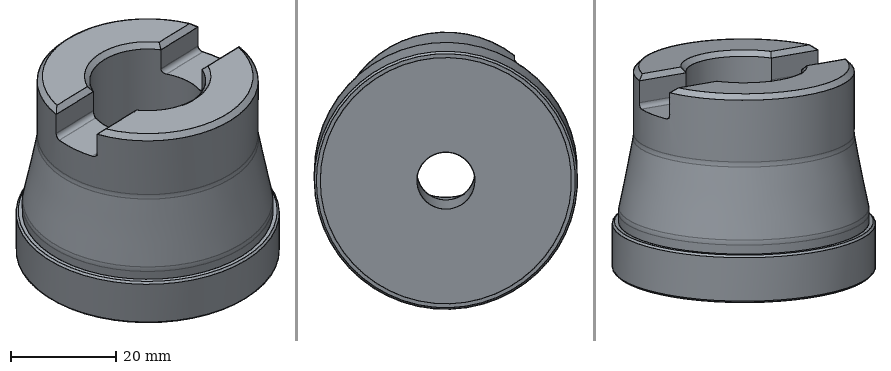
import cadquery as cq
import math

TOTAL_HEIGHT = 39.85

RING_DIAMETER = 50.0
RING_HEIGHT = 9.35
RING_CHAMFER = 0.4

SKIRT_DIAMETER = 47.7
NECK_DIAMETER = 42.0
BORE_DIAMETER = 22.0
BORE_FLOOR_Z = RING_HEIGHT
HOLE_DIAMETER = 11.0
HOLE_CHAMFER = 0.5
CONE_BOTTOM_Z = 11.6
CONE_TOP_Z = 26.2
BLEND_RADIUS = 5.0
RIM_CHAMFER = 1.0

SLOT_WIDTH = 10.4
SLOT_DEPTH = 6.3
SLOT_FLOOR_RADIUS = 1.0


def cone_blend(corner_r, corner_z, side):
    """Start, middle and end of the arc rounding a corner between cone and cylinder.

    side is +1 at the bottom corner (arc centre inside the wall), -1 at the top corner.
    """
    cone_run = (SKIRT_DIAMETER - NECK_DIAMETER) / 2
    cone_angle = math.atan2(cone_run, CONE_TOP_Z - CONE_BOTTOM_Z)
    tangent_length = BLEND_RADIUS * math.tan(cone_angle / 2)
    center_r = corner_r - side * BLEND_RADIUS
    center_z = corner_z - side * tangent_length

    def arc_point(angle):
        return (
            center_r + side * BLEND_RADIUS * math.cos(angle),
            center_z + side * BLEND_RADIUS * math.sin(angle),
        )

    points = [arc_point(0), arc_point(cone_angle / 2), arc_point(cone_angle)]
    return points if side > 0 else points[::-1]


def make_ring():
    """Ring with chamfered outer edges, bored to fit the skirt of the housing."""
    disc = cq.Workplane("XY").circle(RING_DIAMETER / 2).extrude(RING_HEIGHT)
    disc = disc.faces("<Z or >Z").chamfer(RING_CHAMFER)
    opening = cq.Workplane("XY").circle(SKIRT_DIAMETER / 2).extrude(RING_HEIGHT)
    return disc.cut(opening)


def make_housing_blank():
    """Revolved cup: skirt, blended cone, neck, chamfered rim, bore and drilled floor."""
    hole_r = HOLE_DIAMETER / 2
    skirt_r = SKIRT_DIAMETER / 2
    neck_r = NECK_DIAMETER / 2
    bore_r = BORE_DIAMETER / 2
    low_start, low_middle, low_end = cone_blend(skirt_r, CONE_BOTTOM_Z, 1)
    high_start, high_middle, high_end = cone_blend(neck_r, CONE_TOP_Z, -1)
    return (
        cq.Workplane("XZ")
        .moveTo(hole_r, 0)
        .lineTo(skirt_r, 0)
        .lineTo(*low_start)
        .threePointArc(low_middle, low_end)
        .lineTo(*high_start)
        .threePointArc(high_middle, high_end)
        .lineTo(neck_r, TOTAL_HEIGHT - RIM_CHAMFER)
        .lineTo(neck_r - RIM_CHAMFER, TOTAL_HEIGHT)
        .lineTo(bore_r + RIM_CHAMFER, TOTAL_HEIGHT)
        .lineTo(bore_r, TOTAL_HEIGHT - RIM_CHAMFER)
        .lineTo(bore_r, BORE_FLOOR_Z)
        .lineTo(hole_r + HOLE_CHAMFER, BORE_FLOOR_Z)
        .lineTo(hole_r, BORE_FLOOR_Z - HOLE_CHAMFER)
        .close()
        .revolve(360, (0, 0, 0), (0, 1, 0))
    )


def make_slot_cutter():
    """Slot with rounded floor corners and chamfered mouth."""
    half_width = SLOT_WIDTH / 2
    floor_z = TOTAL_HEIGHT - SLOT_DEPTH
    channel = (
        cq.Workplane("XY")
        .workplane(offset=floor_z)
        .rect(SLOT_WIDTH, RING_DIAMETER)
        .extrude(SLOT_DEPTH)
        .faces("<Z")
        .edges("|Y")
        .fillet(SLOT_FLOOR_RADIUS)
    )
    mouth = (
        cq.Workplane("XZ")
        .moveTo(-half_width, TOTAL_HEIGHT - RIM_CHAMFER)
        .lineTo(half_width, TOTAL_HEIGHT - RIM_CHAMFER)
        .lineTo(half_width + RIM_CHAMFER, TOTAL_HEIGHT)
        .lineTo(-half_width - RIM_CHAMFER, TOTAL_HEIGHT)
        .close()
        .extrude(RING_DIAMETER / 2, both=True)
    )
    return channel.union(mouth)


ring = make_ring()
housing = make_housing_blank().cut(make_slot_cutter())

result = cq.Compound.makeCompound([*ring.solids().vals(), *housing.solids().vals()])